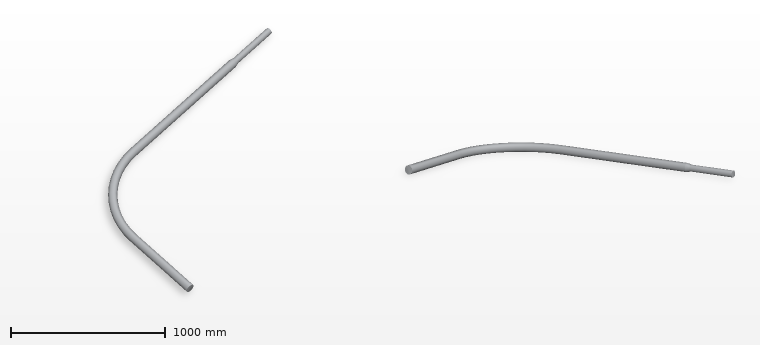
import cadquery as cq
import math

tube_diameter = 60.0
spigot_diameter = 45.0

spigot_length = 320.0
cone_length = 30.0
post_length = 955.0
bend_radius = 500.0
bend_angle = 85.0
arm_length = 545.0

tube_radius = tube_diameter / 2
spigot_radius = spigot_diameter / 2


def bend_point(angle):
    """Centreline point of the bend; the bend starts at the origin, heading -Y and turning to +X."""
    turn = math.radians(angle)
    return (bend_radius * (1 - math.cos(turn)), -bend_radius * math.sin(turn))


def make_bent_tube():
    """Straight post, bend and straight arm, swept as one round bar."""
    bend_end = bend_point(bend_angle)
    arm_turn = math.radians(bend_angle)
    arm_end = (
        bend_end[0] + arm_length * math.sin(arm_turn),
        bend_end[1] - arm_length * math.cos(arm_turn),
    )
    centreline = (
        cq.Workplane("XY")
        .moveTo(0, post_length)
        .lineTo(0, 0)
        .threePointArc(bend_point(bend_angle / 2), bend_end)
        .lineTo(*arm_end)
    )
    post_top = cq.Workplane("XZ", origin=(0, post_length, 0))
    return post_top.circle(tube_radius).sweep(centreline)


def make_spigot():
    """Conical reduction and slimmer spigot, revolved about the post axis."""
    cone_end = post_length + cone_length
    spigot_end = cone_end + spigot_length
    return (
        cq.Workplane("XY")
        .moveTo(0, post_length)
        .lineTo(tube_radius, post_length)
        .lineTo(spigot_radius, cone_end)
        .lineTo(spigot_radius, spigot_end)
        .lineTo(0, spigot_end)
        .close()
        .revolve(360, (0, 0, 0), (0, 1, 0))
    )


result = make_bent_tube().union(make_spigot())